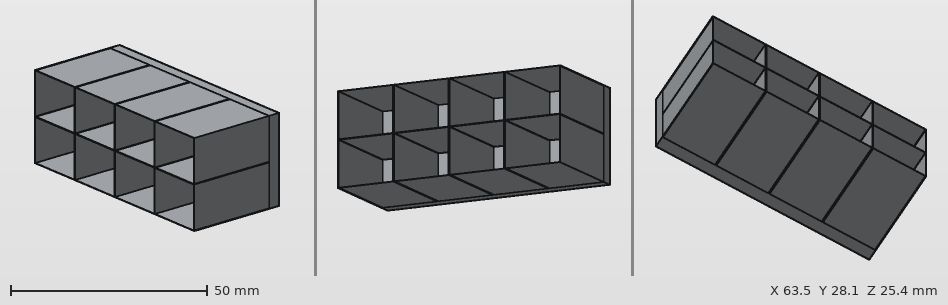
import cadquery as cq

width = 63.5
depth = 28.1
height = 25.4

columns = 4
rows = 2
side_wall = 0.2
divider = 0.4
shelf = 0.2
floor_and_roof = 0.095
back_wall = 3.2

cell_width = (width - 2 * side_wall - (columns - 1) * divider) / columns
cell_height = (height - 2 * floor_and_roof - (rows - 1) * shelf) / rows
cell_depth = depth - back_wall
column_pitch = cell_width + divider
row_pitch = cell_height + shelf


def compartment(column, row):
    """Cavity of one compartment, open at the front (-Y) face."""
    left = side_wall + column * column_pitch
    bottom = floor_and_roof + row * row_pitch
    cavity = cq.Workplane("XY").box(cell_width, cell_depth, cell_height, centered=False)
    return cavity.translate((left, 0, bottom))


result = cq.Workplane("XY").box(width, depth, height, centered=False)

for column in range(columns):
    for row in range(rows):
        result = result.cut(compartment(column, row))